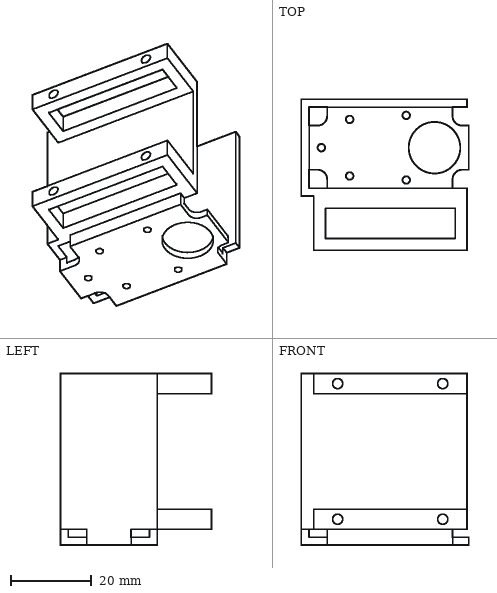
import cadquery as cq

plate_length = 41.5
wall_length = 41.1
box_width = 24.0
total_height = 42.5
wall = 1.98
floor_thickness = 2.0

tab_width = 11.0
relief_height = 3.9
relief_x_near = 6.4
relief_x_far = 37.5
relief_radius = 2.3

bracket_start = 3.08
bracket_reach = 13.41
bracket_height = 5.05
bracket_bar = 3.0
screw_diameter = 2.5
screw_spacing = 26.0
screw_offset = 5.95

large_hole_diameter = 12.7
large_hole_x = 33.0
pin_diameter = 1.8
end_pin_x = 5.0
near_pin_x = 12.0
near_pin_spacing = 14.0
far_pin_x = 26.0
far_pin_spacing = 16.0

half_width = box_width / 2
half_tab = tab_width / 2


def block(x_range, y_range, z_range):
    """Box spanning the given (low, high) limits along each axis."""
    size = [high - low for low, high in (x_range, y_range, z_range)]
    corner = (x_range[0], y_range[0], z_range[0])
    return cq.Workplane("XY").box(*size, centered=False).translate(corner)


def make_box():
    """Floor with a closed -X end and two long side walls."""
    full_width = (-half_width, half_width)
    full_height = (0, total_height)
    floor = block((0, plate_length), full_width, (0, floor_thickness))
    end_wall = block((0, wall), full_width, full_height)
    front_wall = block((0, wall_length), (-half_width, wall - half_width), full_height)
    back_wall = block((0, wall_length), (half_width - wall, half_width), full_height)
    return floor.union(end_wall).union(front_wall).union(back_wall)


def cut_corner_reliefs(body):
    """Remove the four foot corners, leaving rounded inner corners."""
    for side in (-1, 1):
        y_range = sorted((side * half_tab, side * half_width))
        near = block((0, relief_x_near), y_range, (0, relief_height))
        far = block((relief_x_far, plate_length), y_range, (0, relief_height))
        inner_y = "<Y" if side > 0 else ">Y"
        near = near.faces(">X").edges("|Z").edges(inner_y).fillet(relief_radius)
        far = far.faces("<X").edges("|Z").edges(inner_y).fillet(relief_radius)
        body = body.cut(near).cut(far)
    return body


def cut_floor_holes(body):
    """One large opening and five pin holes through the floor."""
    pins = [(end_pin_x, 0)]
    for side in (-1, 1):
        pins.append((near_pin_x, side * near_pin_spacing / 2))
        pins.append((far_pin_x, side * far_pin_spacing / 2))
    floor_plane = cq.Workplane("XY")
    pin_cutter = floor_plane.pushPoints(pins).circle(pin_diameter / 2).extrude(floor_thickness)
    large_cutter = (
        floor_plane.center(large_hole_x, 0).circle(large_hole_diameter / 2).extrude(floor_thickness)
    )
    return body.cut(pin_cutter).cut(large_cutter)


def make_bracket(bottom):
    """Rectangular loop standing out from the front wall, with two screw holes in its outer bar."""
    outer_y = -half_width - bracket_reach
    z_range = (bottom, bottom + bracket_height)
    frame = block((bracket_start, wall_length), (outer_y, -half_width), z_range)
    window = block(
        (bracket_start + bracket_bar, wall_length - bracket_bar),
        (outer_y + bracket_bar, -half_width - bracket_bar),
        z_range,
    )
    first_screw_x = bracket_start + screw_offset
    screw_z = bottom + bracket_height / 2
    screws = (
        cq.Workplane("XZ", origin=(0, outer_y, 0))
        .pushPoints([(first_screw_x, screw_z), (first_screw_x + screw_spacing, screw_z)])
        .circle(screw_diameter / 2)
        .extrude(-bracket_bar)
    )
    return frame.cut(window).cut(screws)


result = cut_floor_holes(cut_corner_reliefs(make_box()))
for bracket_bottom in (relief_height, total_height - bracket_height):
    result = result.union(make_bracket(bracket_bottom))